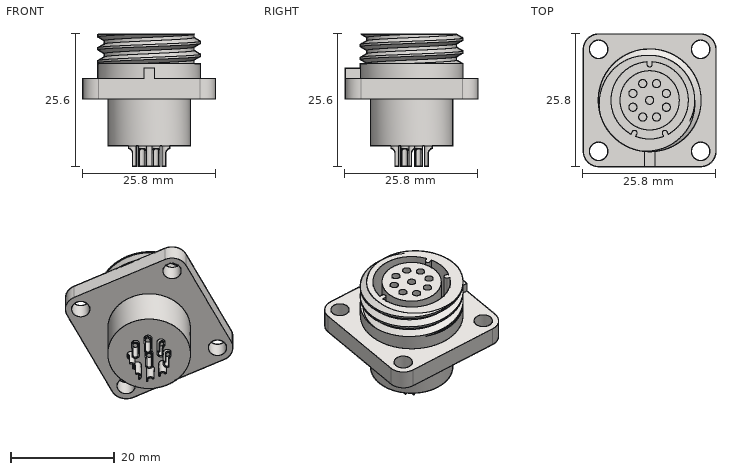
import cadquery as cq
import math

flange_height = 4.05
collar_top = flange_height + 2.85
shell_top = collar_top + 5.7
body_length = 9.03
pin_length = 4.0

flange_side = 25.75
corner_radius = 3.06
mount_hole_spacing = 19.75
mount_hole_diameter = 3.53

tab_width = 1.98
tab_height = 1.95

body_radius = 8.0
collar_radius = 9.95
thread_root_radius = 8.73
socket_radius = 7.5
insert_radius = 5.75
socket_depth = shell_top

thread_pitch = 2.5
crest_width = 0.4
flank_angle = 30.0
groove_start_height = flange_height + 0.72
thread_turns = 4
groove_overshoot = 0.08

key_width = 0.98
key_tip_radius = 6.45
key_angles = (90, 245, 295)

contact_circle_radius = 3.5
contact_count = 8
contact_diameter = 1.57
contact_radius = contact_diameter / 2
contact_hole_depth = socket_depth

cup_bore_diameter = 1.03
cup_collar_length = 0.5
cup_fillet_radius = 0.93


def cylinder(radius, z_bottom, z_top):
    return cq.Workplane("XY").workplane(offset=z_bottom).circle(radius).extrude(z_top - z_bottom)


def make_flange():
    return (
        cq.Workplane("XY")
        .rect(flange_side, flange_side)
        .extrude(flange_height)
        .edges("|Z")
        .fillet(corner_radius)
        .faces(">Z")
        .workplane()
        .rect(mount_hole_spacing, mount_hole_spacing, forConstruction=True)
        .vertices()
        .hole(mount_hole_diameter)
    )


def make_tab():
    inner_end = thread_root_radius
    tab_length = flange_side / 2 - inner_end
    return (
        cq.Workplane("XY")
        .workplane(offset=flange_height)
        .center(0, -inner_end - tab_length / 2)
        .rect(tab_width, tab_length)
        .extrude(tab_height)
    )


def make_thread_groove():
    """Helical groove between the thread crests, running from the collar out through the top."""
    outer_radius = collar_radius + groove_overshoot
    flank_rise = (collar_radius - thread_root_radius) * math.tan(math.radians(flank_angle))
    overshoot_rise = groove_overshoot * math.tan(math.radians(flank_angle))
    half_outer = (thread_pitch - crest_width) / 2 + overshoot_rise
    half_root = (thread_pitch - crest_width) / 2 - flank_rise
    path = cq.Wire.makeHelix(thread_pitch, thread_pitch * thread_turns, thread_root_radius)
    groove = (
        cq.Workplane("XZ")
        .polyline(
            [
                (thread_root_radius, -half_root),
                (outer_radius, -half_outer),
                (outer_radius, half_outer),
                (thread_root_radius, half_root),
            ]
        )
        .close()
        .sweep(cq.Workplane(obj=path), isFrenet=True)
        .translate((0, 0, groove_start_height))
    )
    buried_part = cylinder(outer_radius + groove_overshoot, 0, collar_top)
    return groove.cut(buried_part)


def make_key(angle):
    """Radial rib of the socket wall with a rounded tip."""
    tip_centre = key_tip_radius + key_width / 2
    wall_radius = (socket_radius + thread_root_radius) / 2
    rib_length = wall_radius - tip_centre
    bar = (
        cq.Workplane("XY")
        .center(tip_centre + rib_length / 2, 0)
        .rect(rib_length, key_width)
        .extrude(shell_top)
    )
    tip = cq.Workplane("XY").center(tip_centre, 0).circle(key_width / 2).extrude(shell_top)
    return bar.union(tip).rotate((0, 0, 0), (0, 0, 1), angle)


def make_socket():
    """Ring-shaped cavity around the insert, interrupted by the keys."""
    z_floor = shell_top - socket_depth
    cavity = cylinder(socket_radius, z_floor, shell_top).cut(cylinder(insert_radius, z_floor, shell_top))
    for angle in key_angles:
        cavity = cavity.cut(make_key(angle))
    return cavity


def make_pin(x, y, open_angle):
    """Contact tail whose outer half is cut away to leave an open solder cup."""
    z_top = -body_length
    z_bottom = z_top - pin_length
    z_cut = z_top - cup_collar_length
    opening = (
        cq.Workplane("XZ")
        .moveTo(0, z_bottom)
        .lineTo(0, z_cut - cup_fillet_radius)
        .radiusArc((cup_fillet_radius, z_cut), cup_fillet_radius)
        .lineTo(cup_fillet_radius, z_bottom)
        .close()
        .extrude(contact_radius, both=True)
    )
    pin = (
        cylinder(contact_radius, z_bottom, z_top)
        .cut(opening)
        .cut(cylinder(cup_bore_diameter / 2, z_bottom, z_cut))
    )
    return pin.rotate((0, 0, 0), (0, 0, 1), open_angle).translate((x, y, 0))


def contact_places():
    """Position of every contact and the direction its solder cup faces."""
    places = [(0, 0, 90)]
    step = 360 / contact_count
    for index in range(contact_count):
        angle = step * (index + 0.5)
        x = contact_circle_radius * math.cos(math.radians(angle))
        y = contact_circle_radius * math.sin(math.radians(angle))
        places.append((x, y, 90 * round(angle / 90)))
    return places


result = make_flange()
result = result.union(cylinder(body_radius, -body_length, flange_height))
result = result.union(cylinder(collar_radius, flange_height, shell_top).cut(make_thread_groove()))
result = result.union(make_tab())
result = result.cut(make_socket())
for x, y, open_angle in contact_places():
    contact_hole = cylinder(contact_radius, shell_top - contact_hole_depth, shell_top)
    result = result.cut(contact_hole.translate((x, y, 0)))
    result = result.union(make_pin(x, y, open_angle))
result = result.solids()